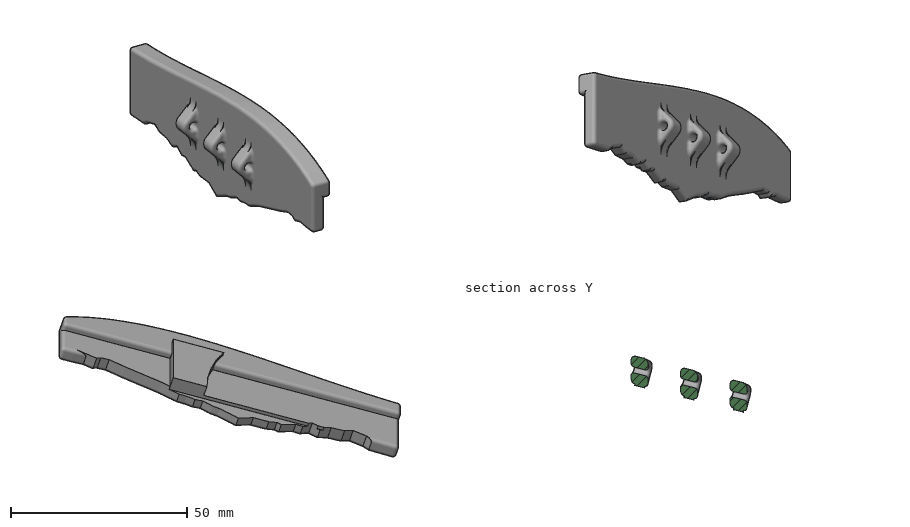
import cadquery as cq
import math

length = 100.0
half_length = length / 2
jagged_thickness = 3.0
body_thickness = 4.0
lip_thickness = 6.0
edge_radius = 1.0
left_top = 10.3
left_bottom = -11.3
right_top = 9.2
right_bottom = -5.85
lip_bottom = 4.4

top_curve_points = [
    (-half_length, left_top),
    (-25.0, 12.95),
    (0.0, 16.25),
    (15.5, 17.07),
    (30.0, 15.9),
    (half_length, right_top),
]

jagged_edge_points = [
    (half_length, right_bottom),
    (46.3, -5.85),
    (42.7, -5.6),
    (39.8, -6.45),
    (38.6, -5.6),
    (36.1, -5.4),
    (31.2, -7.1),
    (20.5, -10.25),
    (15.0, -12.5),
    (12.6, -12.6),
    (10.3, -13.1),
    (8.0, -12.8),
    (5.0, -14.2),
    (2.9, -14.6),
    (-2.6, -17.07),
    (-7.0, -14.6),
    (-11.6, -14.6),
    (-14.0, -13.8),
    (-15.3, -14.3),
    (-19.6, -12.0),
    (-21.7, -12.2),
    (-24.2, -10.6),
    (-26.8, -11.65),
    (-29.8, -10.4),
    (-33.8, -10.1),
    (-36.3, -8.75),
    (-40.3, -9.8),
    (-42.0, -11.0),
    (-half_length, left_bottom),
]

loop_count = 3
loop_spacing = 15.0
loop_z = 1.4
loop_width = 5.0
loop_projection = 4.56
loop_tip_radius = 2.6
loop_edge_radius = 0.95
loop_base_radius = 1.0
loop_root_depth = 1.5
hole_radius = 1.15
hole_offset = 1.25
ramp_width = 3.0
upper_ramp_end = 7.1
lower_ramp_end = 7.9

pad_back = 7.0
pad_left = 3.0
pad_right = 18.0
pad_top = left_top
pad_bottom = left_bottom
pad_taper = 5.0

flatness = 0.01

leg_slope = math.pi / 4
tip_center = loop_projection - loop_tip_radius
tip_tangent = loop_tip_radius * math.sin(leg_slope)
loop_foot = tip_center + loop_tip_radius / math.sin(leg_slope)


def box_between(low, high):
    size = [b - a for a, b in zip(low, high)]
    return cq.Workplane("XY").box(*size, centered=False).translate(low)


def make_blank():
    outline = cq.Workplane("XZ").moveTo(-half_length, left_top)
    outline = outline.spline(top_curve_points[1:], includeCurrent=True)
    for point in jagged_edge_points:
        outline = outline.lineTo(*point)
    return outline.close().extrude(-lip_thickness)


def make_body():
    below_lip = box_between(
        (-length, body_thickness, -length),
        (length, lip_thickness, lip_bottom),
    )
    body = make_blank().cut(below_lip)
    body = body.edges("|Y").edges("<X or >X").fillet(edge_radius)

    behind_front = cq.selectors.BoxSelector(
        (-length, jagged_thickness, -length),
        (length, length, length),
    )
    rounded = body.faces("<Y").edges()
    rounded = rounded.add(body.faces(">Y").edges(">Z"))
    rounded = rounded.add(body.faces("<X or >X").edges("|Z").edges(behind_front))
    body = rounded.fillet(edge_radius)

    behind_jagged_edge = box_between(
        (-length, jagged_thickness, -length),
        (length, lip_thickness, left_bottom),
    )
    return body.cut(behind_jagged_edge)


def make_pad():
    height = pad_top - pad_bottom
    arc_radius = (height**2 + pad_taper**2) / (2 * pad_taper)
    half_turn = math.asin(height / arc_radius) / 2
    arc_middle = (
        pad_left + pad_taper - arc_radius * (1 - math.cos(half_turn)),
        pad_bottom + arc_radius * math.sin(half_turn),
    )
    return (
        cq.Workplane("XZ", origin=(0, jagged_thickness, 0))
        .moveTo(pad_right, pad_bottom)
        .lineTo(pad_right, pad_top)
        .lineTo(pad_left, pad_top)
        .threePointArc(arc_middle, (pad_left + pad_taper, pad_bottom))
        .close()
        .extrude(jagged_thickness - pad_back)
    )


def make_loop(x):
    root_foot = loop_foot + loop_root_depth
    profile = (
        cq.Workplane("YZ", origin=(x, 0, loop_z))
        .moveTo(loop_root_depth, root_foot)
        .lineTo(-tip_center - tip_tangent, tip_tangent)
        .threePointArc((-loop_projection, 0), (-tip_center - tip_tangent, -tip_tangent))
        .lineTo(loop_root_depth, -root_foot)
        .lineTo(loop_root_depth, -hole_radius)
        .lineTo(-hole_offset, -hole_radius)
        .threePointArc((-hole_offset - hole_radius, 0), (-hole_offset, hole_radius))
        .lineTo(loop_root_depth, hole_radius)
        .close()
    )
    loop = profile.extrude(loop_width / 2, both=True)
    in_front_of_root = cq.selectors.BoxSelector(
        (-length, -length, -length),
        (length, loop_root_depth / 2, length),
    )
    return loop.faces("<X or >X").edges(in_front_of_root).fillet(loop_edge_radius)


def make_ramp(x, end, direction):
    run = end - loop_foot
    half_turn = leg_slope / 2
    arc_radius = run / math.tan(half_turn)
    rise = run * math.sin(leg_slope)
    leg_point = (-rise, direction * (loop_foot - rise))
    arc_middle = (
        -arc_radius * (1 - math.cos(half_turn)),
        direction * (end - arc_radius * math.sin(half_turn)),
    )
    return (
        cq.Workplane("YZ", origin=(x, 0, loop_z))
        .moveTo(0, direction * end)
        .threePointArc(arc_middle, leg_point)
        .lineTo(loop_root_depth, leg_point[1])
        .lineTo(loop_root_depth, direction * end)
        .close()
        .extrude(ramp_width / 2, both=True)
    )


def round_loop_bases(part):
    reach_x = loop_count * loop_spacing / 2
    reach_z = loop_foot + loop_base_radius
    around_loops = cq.selectors.BoxSelector(
        (-reach_x, -flatness, loop_z - reach_z),
        (reach_x, flatness, loop_z + reach_z),
    )
    return part.edges(around_loops).fillet(loop_base_radius)


loop_positions = [(i - (loop_count - 1) / 2) * loop_spacing for i in range(loop_count)]

result = make_body()
for x in loop_positions:
    result = result.union(make_loop(x))
result = round_loop_bases(result)
for x in loop_positions:
    result = result.union(make_ramp(x, upper_ramp_end, 1))
    result = result.union(make_ramp(x, lower_ramp_end, -1))
result = result.union(make_pad())